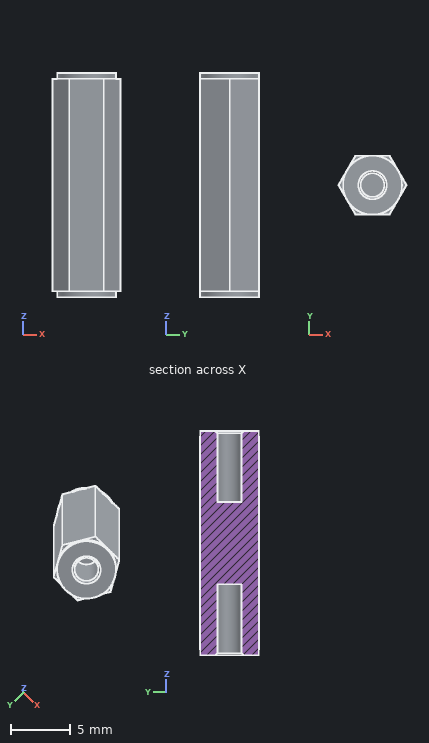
import cadquery as cq
import math

TOTAL_LENGTH = 19.0
HEX_SIDES = 6
ACROSS_FLATS = 5.0
COLLAR_HEIGHT = 0.5
HOLE_DIAMETER = 2.01
HOLE_DEPTH = 6.0
CHAMFER_DIAMETER = 2.4

ACROSS_CORNERS = ACROSS_FLATS / math.cos(math.pi / HEX_SIDES)
HEX_LENGTH = TOTAL_LENGTH - 2 * COLLAR_HEIGHT
CHAMFER_SIZE = (CHAMFER_DIAMETER - HOLE_DIAMETER) / 2


def make_body():
    """Hexagonal bar, corners along X, with a round collar at each end."""
    hexagon = (
        cq.Workplane("XY")
        .workplane(offset=COLLAR_HEIGHT)
        .polygon(HEX_SIDES, ACROSS_CORNERS)
        .extrude(HEX_LENGTH)
    )
    core = cq.Workplane("XY").circle(ACROSS_FLATS / 2).extrude(TOTAL_LENGTH)
    return hexagon.union(core)


def cut_end_hole(body, face_selector):
    """Blind axial hole with a chamfered mouth in one end face."""
    drilled = body.faces(face_selector).workplane().hole(HOLE_DIAMETER, HOLE_DEPTH)
    mouth = drilled.faces(face_selector).edges(cq.selectors.RadiusNthSelector(0))
    return mouth.chamfer(CHAMFER_SIZE)


result = make_body()
for end_face in (">Z", "<Z"):
    result = cut_end_hole(result, end_face)